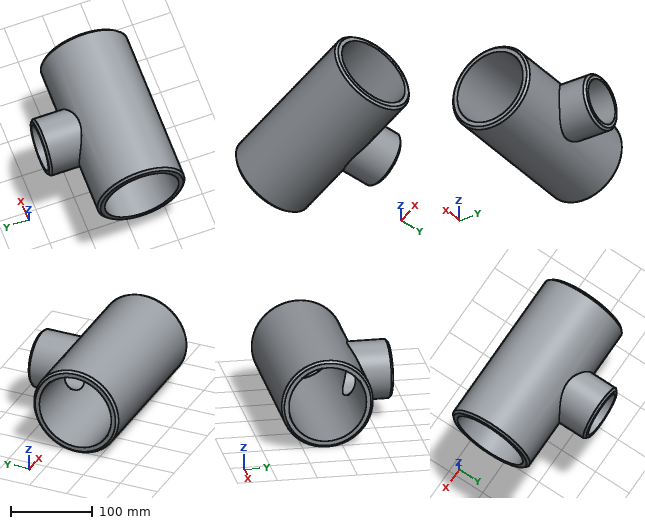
import cadquery as cq

run_length = 209.3
run_diameter = 114.3
run_bore = 97.1
branch_diameter = 73.5
branch_bore = 59.0
branch_reach = 95.2
end_chamfer = 3.0


def chamfered_cylinder(plane, diameter, length, chamfered_ends):
    """Cylinder extruded from the plane, with the selected end edges chamfered."""
    cylinder = cq.Workplane(plane).circle(diameter / 2).extrude(length)
    return cylinder.faces(chamfered_ends).edges().chamfer(end_chamfer)


run_start = cq.Plane(origin=(-run_length / 2, 0, 0), xDir=(0, 1, 0), normal=(1, 0, 0))
branch_start = cq.Plane(origin=(0, 0, 0), xDir=(1, 0, 0), normal=(0, 1, 0))

run = chamfered_cylinder(run_start, run_diameter, run_length, "<X or >X")
branch = chamfered_cylinder(branch_start, branch_diameter, branch_reach, ">Y")

run_passage = cq.Workplane(run_start).circle(run_bore / 2).extrude(run_length)
branch_passage = cq.Workplane(branch_start).circle(branch_bore / 2).extrude(branch_reach)

result = run.union(branch).cut(run_passage).cut(branch_passage)